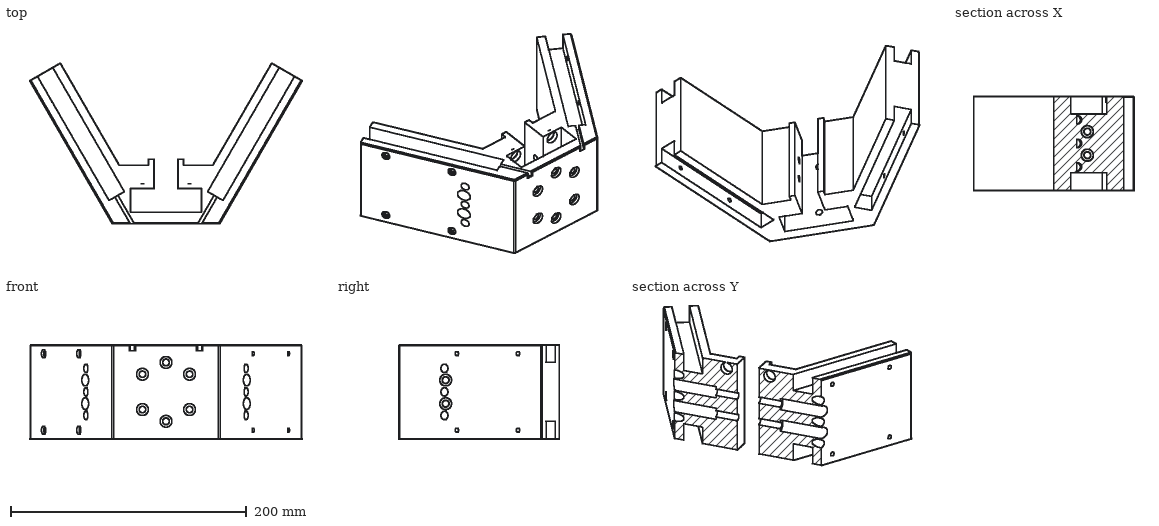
import cadquery as cq
import math

overall_width = 231.43
overall_depth = 136.6
body_height = 80.0
base_lip = 0.2
height = base_lip + body_height
mid_z = base_lip + body_height / 2

wing_thickness = 30.0
wing_angle = math.radians(60)
wing_length = (overall_depth - wing_thickness * math.cos(wing_angle)) / math.sin(wing_angle)
front_half = overall_width / 2 - wing_length * math.cos(wing_angle)
edge_chamfer = 1.0

front_wall = 10.0
bay_half = 30.0
bay_back = 30.0
arm_inner = 10.0
arm_back = 50.0
lip_thickness = 5.0
lip_back = 55.0

pocket_start = 18.7
pocket_width = 15.0
pocket_depth = 15.0
pocket_offset = (wing_thickness - pocket_width) / 2
channel_width = 3.0
channel_offset = 13.2
channel_depth = 5.0
mouth_width = 5.5
mouth_depth = 0.4

bolt_diameter = 5.5
bolt_head_diameter = 10.0
front_head_depth = 3.0
centre_bolt_spread = 25.0
side_bolt_x = 20.0
side_bolt_spread = 15.0
cross_bolt_y = 40.0
cross_bolt_spread = 10.0
cross_head_floor = bay_half
arm_hole_z = 74.2
arm_hole_diameter = 10.6
arm_bore_diameter = 10.0
arm_hole_step = 4.0
arm_bore_depth = 15.0
pin_diameter = 7.0
pin_station = 45.0
pin_pitch = 20.0
pin_depth = 20.0
screw_diameter = 3.4
screw_head_diameter = 7.0
screw_head_depth = 2.3
screw_stations = (57.1, 117.1)
screw_spread = 32.5


def wing_point(along, inward):
    """Plan position on the right wing, from its front outer corner."""
    x = front_half + along * math.cos(wing_angle) - inward * math.sin(wing_angle)
    y = along * math.sin(wing_angle) + inward * math.cos(wing_angle)
    return x, y


def mirrored(solid):
    return solid.mirror("YZ")


def both_sides(solid):
    return solid.union(mirrored(solid))


def cylinder(diameter, length, start, direction):
    return cq.Workplane(cq.Solid.makeCylinder(diameter / 2, length, cq.Vector(*start), cq.Vector(*direction)))


def slab(points, bottom, top):
    return cq.Workplane("XY").workplane(offset=bottom).polyline(points).close().extrude(top - bottom)


def half_body():
    """Right half: front wall, wing and arm."""
    inner_corner_along = (arm_back - wing_thickness * math.cos(wing_angle)) / math.sin(wing_angle)
    outline = [
        (0, 0),
        wing_point(0, 0),
        wing_point(wing_length, 0),
        wing_point(wing_length, wing_thickness),
        wing_point(inner_corner_along, wing_thickness),
        (arm_inner + lip_thickness, arm_back),
        (arm_inner + lip_thickness, lip_back),
        (arm_inner, lip_back),
        (arm_inner, bay_back),
        (bay_half, bay_back),
        (bay_half, front_wall),
        (0, front_wall),
    ]
    lip = slab(outline, 0, base_lip)
    body = slab(outline, base_lip, height)
    front_edge = (front_half / 2, 0, height)
    wing_edge = (*wing_point(wing_length / 2, 0), height)
    corner = (*wing_point(0, 0), mid_z)
    tip = (*wing_point(wing_length, 0), mid_z)
    outer_edges = body.edges(cq.selectors.NearestToPointSelector(front_edge))
    for place in (wing_edge, corner, tip):
        outer_edges = outer_edges.add(body.edges(cq.selectors.NearestToPointSelector(place)))
    return outer_edges.chamfer(edge_chamfer).union(lip)


def wing_strip(start, end, offset, width, bottom, top):
    """Straight strip along the right wing, at an offset from its outer face."""
    far = offset + width
    plan = [wing_point(start, offset), wing_point(end, offset), wing_point(end, far), wing_point(start, far)]
    return slab(plan, bottom, top)


def wing_pockets():
    upper = wing_strip(pocket_start, wing_length, pocket_offset, pocket_width, height - pocket_depth, height)
    lower = wing_strip(pocket_start, wing_length, pocket_offset, pocket_width, 0, base_lip + pocket_depth)
    return upper.union(lower)


def channel():
    """Channel from the pocket out through the front face, with a shallow wider recess at its mouth."""
    floor = height - channel_depth
    slot = wing_strip(-wing_thickness, pocket_start, channel_offset, channel_width, floor, height)
    mouth_x = front_half - (channel_offset + channel_width / 2) / math.sin(wing_angle)
    mouth = cq.Workplane("XY").box(mouth_width, mouth_depth, channel_depth, centered=(True, False, False))
    return slot.union(mouth.translate((mouth_x, 0, floor)))


def front_bolt(x, z):
    head = cylinder(bolt_head_diameter, front_head_depth, (x, 0, z), (0, 1, 0))
    return head.union(cylinder(bolt_diameter, front_wall, (x, 0, z), (0, 1, 0)))


def cross_bolt(z):
    """Bolt hole along X through the right wing and arm."""
    start = (cross_head_floor, cross_bolt_y, z)
    head = cylinder(bolt_head_diameter, overall_width / 2 - cross_head_floor, start, (1, 0, 0))
    return head.union(cylinder(bolt_diameter, cross_head_floor, (0, cross_bolt_y, z), (1, 0, 0)))


def arm_hole():
    start = (side_bolt_x, bay_back, arm_hole_z)
    step = cylinder(arm_hole_diameter, arm_hole_step, start, (0, 1, 0))
    return step.union(cylinder(arm_bore_diameter, arm_bore_depth, start, (0, 1, 0)))


def wing_hole(diameter, depth, station, z):
    """Hole square to the outer face of the right wing."""
    inward = (-math.sin(wing_angle), math.cos(wing_angle), 0)
    return cylinder(diameter, depth, (*wing_point(station, 0), z), inward)


result = both_sides(half_body())
result = result.cut(both_sides(wing_pockets())).cut(both_sides(channel())).cut(both_sides(arm_hole()))

for side in (-1, 1):
    result = result.cut(front_bolt(0, mid_z + side * centre_bolt_spread))
    result = result.cut(both_sides(front_bolt(side_bolt_x, mid_z + side * side_bolt_spread)))
    result = result.cut(both_sides(cross_bolt(mid_z + side * cross_bolt_spread)))
    for station in screw_stations:
        screw_z = mid_z + side * screw_spread
        result = result.cut(both_sides(wing_hole(screw_diameter, wing_thickness / 2, station, screw_z)))
        result = result.cut(mirrored(wing_hole(screw_head_diameter, screw_head_depth, station, screw_z)))

for row in (-1, 0, 1):
    result = result.cut(both_sides(wing_hole(pin_diameter, pin_depth, pin_station, mid_z + row * pin_pitch)))